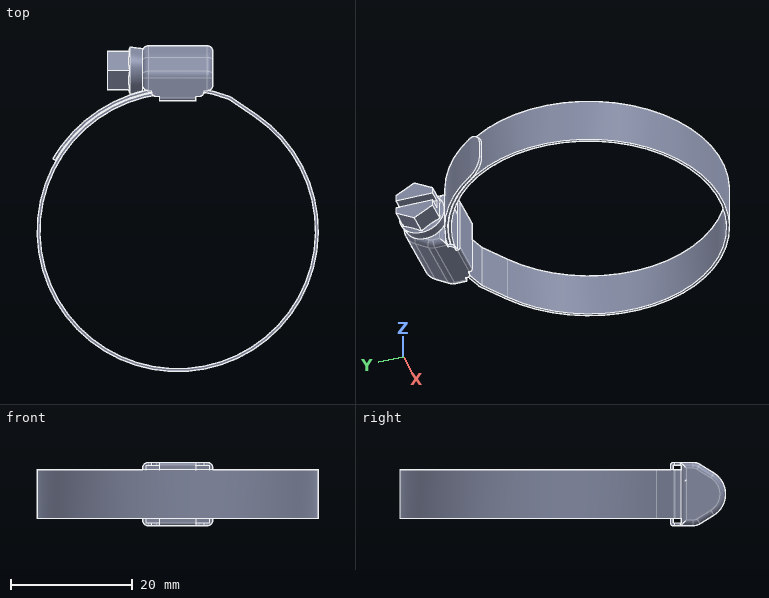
import cadquery as cq
import math


overall_length = 53.45

ring_diameter = 46.15
strap_thickness = 0.5
strap_width = 8.0
layer_gap = 0.08
tail_tip_angle = 150.0
tail_tip_radius = 2.65
loop_end_angle = 82.5
ramp_foot_angle = 55.8
bend_radius = 1.05

ring_radius = ring_diameter / 2
ring_inner_radius = ring_radius - strap_thickness
tail_inner_radius = ring_radius + layer_gap
tail_radius = tail_inner_radius + strap_thickness

screw_axis_y = 26.3
head_across_flats = 6.35
head_end_x = -11.55
collar_rim_x = -7.8
collar_radius = 3.9
collar_small_radius = 3.65
collar_face_rise = 0.25
slot_width = 1.45
slot_depth = 2.15

housing_length = 11.55
housing_width = 10.4
housing_top_y = overall_length - ring_radius
housing_bottom_y = 23.0
shoulder_slope = 32.0
shoulder_radius = 2.15
end_round = 0.95
flap_length = 8.65
flap_bottom_y = 22.0
flap_corner_radius = 0.85
bridge_length = 6.0
bridge_bottom_y = 21.35
bridge_round = 0.5

housing_half_length = housing_length / 2
housing_half_width = housing_width / 2
inner_half_width = housing_half_width - strap_thickness
bridge_top_y = bridge_bottom_y + strap_thickness


def polar(radius, angle):
    """Point at a radius and an angle in degrees around the loop axis."""
    return (radius * math.cos(math.radians(angle)), radius * math.sin(math.radians(angle)))


def tangent_top_angle(foot_radius, top_radius):
    """Angle at which the tangent ramp rising from foot_radius reaches top_radius."""
    return ramp_foot_angle + math.degrees(math.acos(foot_radius / top_radius))


def make_strap():
    """Loop, ramp and overlapping tail as one strip of constant thickness."""
    outer_bend_angle = tangent_top_angle(ring_radius, tail_radius)
    inner_bend_angle = tangent_top_angle(ring_inner_radius, tail_inner_radius)
    outer_bend = polar(tail_radius, outer_bend_angle)
    inner_bend = polar(tail_inner_radius, inner_bend_angle)
    loop_middle_angle = (loop_end_angle + ramp_foot_angle) / 2 + 180
    tail_middle_angle = (tail_tip_angle + outer_bend_angle) / 2

    strap = (
        cq.Workplane("XY")
        .workplane(offset=-strap_width / 2)
        .moveTo(*polar(ring_radius, loop_end_angle))
        .threePointArc(polar(ring_radius, loop_middle_angle), polar(ring_radius, ramp_foot_angle))
        .lineTo(*outer_bend)
        .threePointArc(polar(tail_radius, tail_middle_angle), polar(tail_radius, tail_tip_angle))
        .lineTo(*polar(tail_inner_radius, tail_tip_angle))
        .threePointArc(polar(tail_inner_radius, tail_middle_angle), inner_bend)
        .lineTo(*polar(ring_inner_radius, ramp_foot_angle))
        .threePointArc(
            polar(ring_inner_radius, loop_middle_angle),
            polar(ring_inner_radius, loop_end_angle),
        )
        .close()
        .extrude(strap_width)
    )

    for bend, radius in ((outer_bend, bend_radius + strap_thickness), (inner_bend, bend_radius)):
        strap = strap.edges(cq.NearestToPointSelector((*bend, 0))).fillet(radius)

    tip = polar(tail_radius - strap_thickness / 2, tail_tip_angle)
    for side in (-1, 1):
        corner = (*tip, side * strap_width / 2)
        strap = strap.edges(cq.NearestToPointSelector(corner)).fillet(tail_tip_radius)
    return strap


def make_tail_cylinder(width):
    """Everything within the outside of the tail, over a width in Z."""
    return cq.Workplane("XY").circle(tail_radius).extrude(width / 2, both=True)


def make_housing_body():
    """Domed body above the strap, rounded around both ends."""
    slope = math.radians(shoulder_slope)
    dome_radius = housing_top_y - screw_axis_y
    dome_start_y = screw_axis_y + dome_radius * math.sin(slope)
    dome_start_z = dome_radius * math.cos(slope)
    shoulder_y = dome_start_y - (housing_half_width - dome_start_z) / math.tan(slope)

    body = (
        cq.Workplane("YZ")
        .workplane(offset=-housing_half_length)
        .moveTo(housing_bottom_y, -housing_half_width)
        .lineTo(shoulder_y, -housing_half_width)
        .lineTo(dome_start_y, -dome_start_z)
        .threePointArc((housing_top_y, 0), (dome_start_y, dome_start_z))
        .lineTo(shoulder_y, housing_half_width)
        .lineTo(housing_bottom_y, housing_half_width)
        .close()
        .extrude(housing_length)
    )
    for side in (-1, 1):
        corner = (0, shoulder_y, side * housing_half_width)
        body = body.edges(cq.NearestToPointSelector(corner)).fillet(shoulder_radius)
    return body.faces("<X or >X").edges().fillet(end_round)


def make_lower_block(length, bottom_y):
    """Full-width block that reaches from inside the housing body down to bottom_y."""
    block_top_y = housing_bottom_y + end_round
    return (
        cq.Workplane("XY")
        .box(length, block_top_y - bottom_y, housing_width)
        .translate((0, (block_top_y + bottom_y) / 2, 0))
    )


def make_strap_passage():
    """Opening along X between the side flaps, bounded by the bridge below and the tail above."""
    width = 2 * inner_half_width
    above_bridge = (
        cq.Workplane("XY")
        .box(housing_length, tail_radius, width)
        .translate((0, bridge_top_y + tail_radius / 2, 0))
    )
    return make_tail_cylinder(width).intersect(above_bridge)


def make_housing():
    """Body with side flaps and a bridge that closes the strap passage."""
    flaps = make_lower_block(flap_length, flap_bottom_y)
    flaps = flaps.edges("|Z and <Y").fillet(flap_corner_radius)
    bridge = make_lower_block(bridge_length, bridge_bottom_y)
    bridge = bridge.edges("|X and <Y").fillet(bridge_round)
    return make_housing_body().union(flaps).union(bridge).cut(make_strap_passage())


def make_screw():
    """Slotted hex head with a tapered collar that bears on the end of the housing."""
    face_radius = head_across_flats / 2
    face_x = collar_rim_x - collar_face_rise
    collar = (
        cq.Workplane("XZ")
        .moveTo(face_x, 0)
        .lineTo(face_x, face_radius)
        .lineTo(collar_rim_x, collar_radius)
        .lineTo(-housing_half_length, collar_small_radius)
        .lineTo(-housing_half_length, 0)
        .close()
        .revolve(360, (0, 0, 0), (1, 0, 0))
    )
    head = (
        cq.Workplane("YZ")
        .workplane(offset=head_end_x)
        .transformed(rotate=(0, 0, 90))
        .polygon(6, head_across_flats / math.cos(math.pi / 6))
        .extrude(collar_rim_x - head_end_x)
    )
    slot = (
        cq.Workplane("XY")
        .box(slot_depth, 2 * collar_radius, slot_width)
        .translate((head_end_x + slot_depth / 2, 0, 0))
    )
    screw = collar.union(head).cut(slot).translate((0, screw_axis_y, 0))
    return screw.cut(make_tail_cylinder(strap_width))


strap = make_strap().solids()
housing = make_housing().solids()
screw = make_screw().solids()

result = cq.Compound.makeCompound([strap.val(), housing.val(), screw.val()])